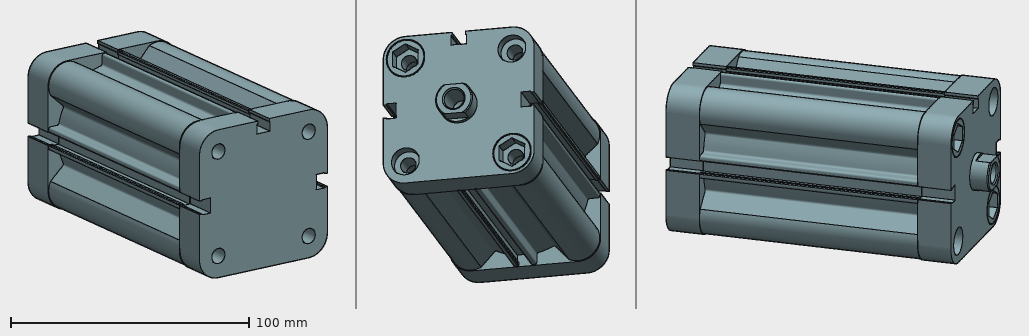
import cadquery as cq
import math


total_length = 134.5
rod_projection = 8.2
cap_length = 14.8
barrel_length = total_length - rod_projection - 2 * cap_length
rear_cap_start = cap_length + barrel_length

cap_size = 65.5
bolt_pitch = 46.2
cap_corner_radius = (cap_size - bolt_pitch) / 2

bolt_hole_diameter = 6.7
socket_across_flats = 11.0
socket_depth = 6.4
groove_outer_diameter = 16.6
groove_inner_diameter = 16.0
groove_depth = 0.8
counterbore_diameter = 12.0
counterbore_depth = 5.0

barrel_size = 64.8
tube_radius = 27.8
column_radius = (barrel_size - bolt_pitch) / 2
column_side_start = 19.05
column_side_angle = math.radians(47.5)
valley_radius = 1.0

rail_half_width = 5.1
rail_top = barrel_size / 2
rail_edge_radius = 1.0
rail_root_radius = 1.1

slot_half_width = 3.35
cap_mouth_half_width = 2.95
cap_lip_bottom = 31.5
cap_shoulder = 31.1
cap_slot_floor = 27.1
barrel_mouth_half_width = 2.7
barrel_mouth_chamfer = 0.4
barrel_lip_bottom = 30.8
barrel_shoulder = 30.4
barrel_slot_floor = 27.5

rod_diameter = 16.0
rod_end_chamfer = 0.5
rod_across_flats = 13.0
flat_length = 6.2
flat_end_angle = math.radians(15)
rod_hole_mouth_diameter = 9.8
rod_hole_diameter = 8.6
rod_hole_depth = 15.0
drill_half_angle = math.radians(59)

socket_corners = [(1, 1), (-1, -1)]
counterbore_corners = [(1, -1), (-1, 1)]


def section(x):
    """Workplane across the axis at x: its local X is +Y and its local Y is +Z."""
    return cq.Workplane("YZ", origin=(x, 0, 0))


def corner_points(corners):
    """Positions (Y, Z) of the bolt axes at the given corners."""
    return [(y * bolt_pitch / 2, z * bolt_pitch / 2) for y, z in corners]


def at_corners(x, corners):
    """Section at x with a point on each of the given bolt axes."""
    return section(x).pushPoints(corner_points(corners))


def turned(shape, angle):
    """Shape turned about the cylinder axis."""
    return shape.rotate((0, 0, 0), (1, 0, 0), angle)


def bolt_holes(x, length):
    return at_corners(x, socket_corners + counterbore_corners).circle(bolt_hole_diameter / 2).extrude(length)




def make_cap_slot(x):
    """Cutter for a T-slot in the +Z side, with sloped shoulders under its lips."""
    right_side = [
        (slot_half_width, cap_slot_floor),
        (slot_half_width, cap_shoulder),
        (cap_mouth_half_width, cap_lip_bottom),
        (cap_mouth_half_width, cap_size / 2),
    ]
    left_side = [(-y, z) for y, z in reversed(right_side)]
    return section(x).polyline(right_side + left_side).close().extrude(cap_length)


def make_cap(x):
    """Square cap with rounded corners, T-slots in the top and both sides, and four bolt holes."""
    cap = section(x).rect(cap_size, cap_size).extrude(cap_length).edges("|X").fillet(cap_corner_radius)
    for angle in (-90, 0, 90):
        cap = cap.cut(turned(make_cap_slot(x), angle))
    return cap.cut(bolt_holes(x, cap_length))


def make_front_cap():
    """Cap with the rod bore, and with the bolt recesses in its outer face."""
    corner_to_corner = socket_across_flats / math.cos(math.radians(30))
    hexagon = turned(section(0).polygon(6, corner_to_corner).extrude(socket_depth), 90)
    grooves = (
        at_corners(0, socket_corners)
        .circle(groove_outer_diameter / 2)
        .circle(groove_inner_diameter / 2)
        .extrude(groove_depth)
    )
    counterbores = (
        at_corners(0, counterbore_corners).circle(counterbore_diameter / 2).extrude(counterbore_depth)
    )
    rod_bore = section(0).circle(rod_diameter / 2).extrude(cap_length)
    cap = make_cap(0).cut(grooves).cut(counterbores).cut(rod_bore)
    for y, z in corner_points(socket_corners):
        cap = cap.cut(hexagon.translate((0, y, z)))
    return cap




def arc_middle(center, start, end):
    """Point halfway along the shorter arc from start to end about center."""
    radius = math.dist(center, start)
    y = (start[0] + end[0]) / 2 - center[0]
    z = (start[1] + end[1]) / 2 - center[1]
    scale = radius / math.hypot(y, z)
    return (center[0] + y * scale, center[1] + z * scale)


def make_barrel_wedge():
    """Eighth of the barrel, from the middle of the +Z side to the diagonal of the (+Y, +Z) corner."""
    edge_center = (rail_half_width - rail_edge_radius, rail_top - rail_edge_radius)
    edge_start = (edge_center[0], rail_top)
    edge_end = (rail_half_width, edge_center[1])

    root_y = rail_half_width + rail_root_radius
    root_reach = tube_radius + rail_root_radius
    root_center = (root_y, math.sqrt(root_reach**2 - root_y**2))
    root_start = (rail_half_width, root_center[1])
    root_end = tuple(v * tube_radius / root_reach for v in root_center)

    column_center = (bolt_pitch / 2, bolt_pitch / 2)
    column_start_rise = math.sqrt(column_radius**2 - (column_center[0] - column_side_start) ** 2)
    column_start = (column_side_start, column_center[1] + column_start_rise)
    column_tip = column_center[0] + column_radius * math.sqrt(0.5)
    column_end = (column_tip, column_tip)

    normal_y = -math.sin(column_side_angle)
    normal_z = math.cos(column_side_angle)
    valley_reach = tube_radius + valley_radius
    across = column_start[0] * normal_y + column_start[1] * normal_z + valley_radius
    along = math.sqrt(valley_reach**2 - across**2)
    valley_center = (across * normal_y + along * normal_z, across * normal_z - along * normal_y)
    valley_start = tuple(v * tube_radius / valley_reach for v in valley_center)
    valley_end = (valley_center[0] - valley_radius * normal_y, valley_center[1] - valley_radius * normal_z)

    return (
        section(cap_length)
        .lineTo(0, barrel_slot_floor)
        .lineTo(slot_half_width, barrel_slot_floor)
        .lineTo(slot_half_width, barrel_shoulder)
        .lineTo(barrel_mouth_half_width, barrel_lip_bottom)
        .lineTo(barrel_mouth_half_width, rail_top - barrel_mouth_chamfer)
        .lineTo(barrel_mouth_half_width + barrel_mouth_chamfer, rail_top)
        .lineTo(*edge_start)
        .threePointArc(arc_middle(edge_center, edge_start, edge_end), edge_end)
        .lineTo(*root_start)
        .threePointArc(arc_middle(root_center, root_start, root_end), root_end)
        .threePointArc(arc_middle((0, 0), root_end, valley_start), valley_start)
        .threePointArc(arc_middle(valley_center, valley_start, valley_end), valley_end)
        .lineTo(*column_start)
        .threePointArc(arc_middle(column_center, column_start, column_end), column_end)
        .close()
        .extrude(barrel_length)
    )


def make_barrel():
    """Barrel with four equal sides, pierced by the bolt holes."""
    wedge = make_barrel_wedge()
    side = wedge.union(wedge.mirror("XZ"))
    barrel = side
    for angle in (90, 180, 270):
        barrel = barrel.union(turned(side, angle))
    return barrel.cut(bolt_holes(cap_length, barrel_length))




def make_flat_cutter():
    """Cutter for the wrench flat on the rod's +Z side, with a sloped end wall."""
    rod_radius = rod_diameter / 2
    flat_height = rod_across_flats / 2
    flat_end = -rod_projection + flat_length
    end_slope = (rod_radius - flat_height) * math.tan(flat_end_angle)
    return (
        cq.Workplane("XZ")
        .polyline(
            [
                (-rod_projection, flat_height),
                (flat_end + end_slope, flat_height),
                (flat_end, rod_radius),
                (-rod_projection, rod_radius),
            ]
        )
        .close()
        .extrude(rod_radius, both=True)
    )


def make_rod_hole():
    """Cutter for the blind hole in the rod's end: chamfered mouth, bore and drill point."""
    mouth_radius = rod_hole_mouth_diameter / 2
    hole_radius = rod_hole_diameter / 2
    hole_end = -rod_projection + rod_hole_depth
    return (
        cq.Workplane("XZ")
        .polyline(
            [
                (-rod_projection, 0),
                (-rod_projection, mouth_radius),
                (-rod_projection + mouth_radius - hole_radius, hole_radius),
                (hole_end, hole_radius),
                (hole_end + hole_radius / math.tan(drill_half_angle), 0),
            ]
        )
        .close()
        .revolve(360, (0, 0, 0), (1, 0, 0))
    )


def make_rod():
    """Rod running from the barrel's front face out through the front cap."""
    rod = section(-rod_projection).circle(rod_diameter / 2).extrude(rod_projection + cap_length)
    rod = rod.faces("<X").chamfer(rod_end_chamfer)
    for angle in (0, 180):
        rod = rod.cut(turned(make_flat_cutter(), angle))
    return rod.cut(make_rod_hole())


front_cap = make_front_cap()
barrel = make_barrel()
rear_cap = make_cap(rear_cap_start)
rod = make_rod()

bodies = [front_cap, barrel, rear_cap, rod]
result = cq.Compound.makeCompound([body.solids().val() for body in bodies])